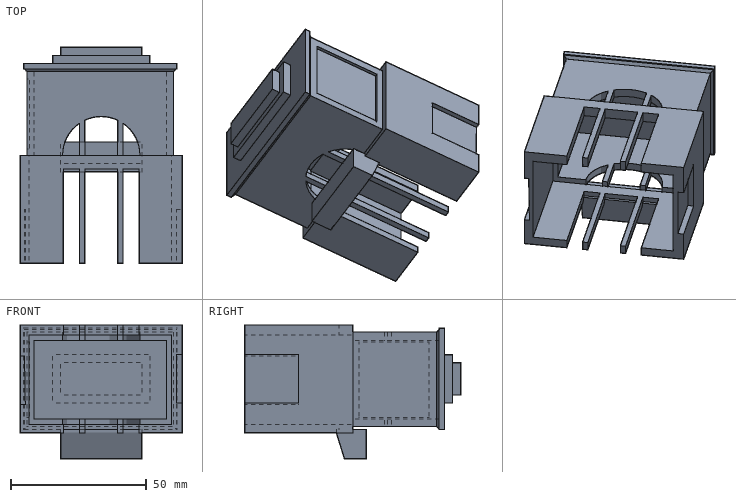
import cadquery as cq


HOUSING_WIDTH = 60.0
HOUSING_LENGTH = 40.0
HOUSING_HEIGHT = 40.0

OFFSET_X = -0.35
OFFSET_Z = -0.3
FRONT_CAVITY_WIDTH = 52.75
FRONT_CAVITY_HEIGHT = 33.0

BODY_WIDTH = 54.25
BODY_HEIGHT = 35.0
BODY_OFFSET_Z = -0.15
BODY_END_Y = 72.0
REAR_CAVITY_WIDTH = 49.0
REAR_CAVITY_HEIGHT = 29.0
REAR_CAVITY_END_Y = BODY_END_Y

FLANGE_WIDTH = 56.75
FLANGE_HEIGHT = 37.5
FLANGE_THICKNESS = 2.0
COLLAR_LENGTH = 1.0
COLLAR_RISE = 1.0

LOWER_BOSS_WIDTH = 36.0
LOWER_BOSS_HEIGHT = 18.0
UPPER_BOSS_WIDTH = 30.0
UPPER_BOSS_HEIGHT = 12.0
BOSS_STEP = 3.0

SLOT_WIDTH = 28.0
SLOT_LENGTH = 35.0
ARCH_RADIUS = 14.3
BAR_WIDTH = 2.0
BAR_CENTER_X = 7.1

NOTCH_LENGTH = 20.0
NOTCH_HEIGHT = 18.0
RIGHT_NOTCH_DEPTH = 2.2
LEFT_NOTCH_TOP_DEPTH = 1.6
LEFT_NOTCH_BOTTOM_DEPTH = 1.9
LEFT_NOTCH_OFFSET_Z = -0.55

PANEL_START_Y = 42.4
PANEL_LENGTH = 25.75
PANEL_HEIGHT = 28.0
PANEL_DEPTH = 1.0

CATCH_WIDTH = 30.0
CATCH_FRONT_Y = 33.9
CATCH_TIP_FRONT_Y = 36.9
CATCH_REAR_Y = 45.0
CATCH_TOP_Z = -18.7
CATCH_DROP = 9.56


def block(width, height, start_y, end_y, center_x=0.0, center_z=0.0):
    """Box centred at (center_x, center_z) in X and Z that spans start_y to end_y."""
    length = end_y - start_y
    center = (center_x, start_y + length / 2, center_z)
    return cq.Workplane("XY").box(width, length, height).translate(center)


def make_outer_shell():
    housing = block(HOUSING_WIDTH, HOUSING_HEIGHT, 0, HOUSING_LENGTH)
    body = block(BODY_WIDTH, BODY_HEIGHT, HOUSING_LENGTH, BODY_END_Y, OFFSET_X, BODY_OFFSET_Z)
    return housing.union(body)


def make_collar():
    """Taper that widens from the rear body toward the flange."""
    return (
        cq.Workplane("XZ", origin=(OFFSET_X, BODY_END_Y - COLLAR_LENGTH, BODY_OFFSET_Z))
        .rect(BODY_WIDTH, BODY_HEIGHT)
        .workplane(offset=-COLLAR_LENGTH)
        .rect(BODY_WIDTH + 2 * COLLAR_RISE, BODY_HEIGHT + 2 * COLLAR_RISE)
        .loft(ruled=True)
    )


def make_closed_end():
    """Flange followed by two bosses of decreasing size."""
    flange_end = BODY_END_Y + FLANGE_THICKNESS
    lower_end = flange_end + BOSS_STEP
    upper_end = lower_end + BOSS_STEP
    flange = block(FLANGE_WIDTH, FLANGE_HEIGHT, BODY_END_Y, flange_end, OFFSET_X)
    lower_boss = block(LOWER_BOSS_WIDTH, LOWER_BOSS_HEIGHT, flange_end, lower_end)
    upper_boss = block(UPPER_BOSS_WIDTH, UPPER_BOSS_HEIGHT, lower_end, upper_end)
    return flange.union(lower_boss).union(upper_boss)


def make_cavities():
    front = block(FRONT_CAVITY_WIDTH, FRONT_CAVITY_HEIGHT, 0, HOUSING_LENGTH, OFFSET_X, OFFSET_Z)
    rear = block(
        REAR_CAVITY_WIDTH, REAR_CAVITY_HEIGHT, HOUSING_LENGTH, REAR_CAVITY_END_Y, OFFSET_X, OFFSET_Z
    )
    return front.union(rear)


def make_wall_openings():
    """Straight slot and half-round arch through both walls, less the bars."""
    slot = block(SLOT_WIDTH, HOUSING_HEIGHT, 0, SLOT_LENGTH)
    arch = (
        cq.Workplane("XY", origin=(0, HOUSING_LENGTH, -HOUSING_HEIGHT / 2))
        .moveTo(-ARCH_RADIUS, 0)
        .threePointArc((0, ARCH_RADIUS), (ARCH_RADIUS, 0))
        .close()
        .extrude(HOUSING_HEIGHT)
    )
    openings = slot.union(arch)
    for side in (-1, 1):
        bar = block(BAR_WIDTH, HOUSING_HEIGHT, 0, BODY_END_Y, side * BAR_CENTER_X)
        openings = openings.cut(bar)
    return openings


def make_right_notch():
    center_x = (HOUSING_WIDTH - RIGHT_NOTCH_DEPTH) / 2
    return block(RIGHT_NOTCH_DEPTH, NOTCH_HEIGHT, 0, NOTCH_LENGTH, center_x)


def make_left_notch():
    """Notch whose floor leans, so that it is deeper at the bottom."""
    outer_x = -HOUSING_WIDTH / 2
    top_z = LEFT_NOTCH_OFFSET_Z + NOTCH_HEIGHT / 2
    bottom_z = top_z - NOTCH_HEIGHT
    return (
        cq.Workplane("XZ")
        .moveTo(outer_x, bottom_z)
        .lineTo(outer_x + LEFT_NOTCH_BOTTOM_DEPTH, bottom_z)
        .lineTo(outer_x + LEFT_NOTCH_TOP_DEPTH, top_z)
        .lineTo(outer_x, top_z)
        .close()
        .extrude(-NOTCH_LENGTH)
    )


def make_side_panel():
    center_x = OFFSET_X - (BODY_WIDTH - PANEL_DEPTH) / 2
    panel_end = PANEL_START_Y + PANEL_LENGTH
    return block(PANEL_DEPTH, PANEL_HEIGHT, PANEL_START_Y, panel_end, center_x, OFFSET_Z)


def make_catch():
    """Hook below the housing, with a sloped front face under the wall."""
    wall_bottom_z = -HOUSING_HEIGHT / 2
    tip_z = wall_bottom_z - CATCH_DROP
    return (
        cq.Workplane("YZ")
        .moveTo(CATCH_REAR_Y, CATCH_TOP_Z)
        .lineTo(CATCH_FRONT_Y, CATCH_TOP_Z)
        .lineTo(CATCH_FRONT_Y, wall_bottom_z)
        .lineTo(CATCH_TIP_FRONT_Y, tip_z)
        .lineTo(CATCH_REAR_Y, tip_z)
        .close()
        .extrude(CATCH_WIDTH / 2, both=True)
    )


result = (
    make_outer_shell()
    .union(make_collar())
    .union(make_closed_end())
    .cut(make_cavities())
    .cut(make_wall_openings())
    .cut(make_right_notch())
    .cut(make_left_notch())
    .cut(make_side_panel())
    .union(make_catch())
)